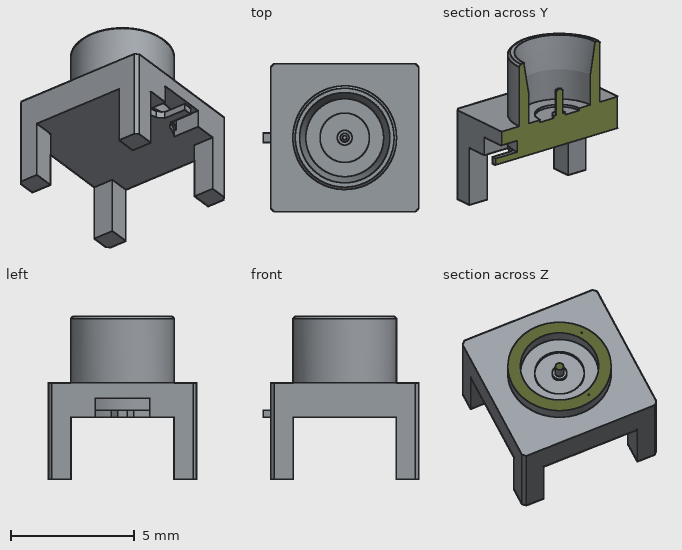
import cadquery as cq


BODY_SIDE = 6.0
BODY_HEIGHT = 1.4
CORNER_CHAMFER = 0.14
LEG_SIDE = 0.92
LEG_LENGTH = 2.5

COLLAR_DIAMETER = 4.2
COLLAR_HEIGHT = 2.7
RIM_CHAMFER = 0.1
MOUTH_DIAMETER = 3.65
BORE_DIAMETER = 3.15
TAPER_DEPTH = 1.4
COLLAR_TOP = BODY_HEIGHT + COLLAR_HEIGHT
BORE_FLOOR = BODY_HEIGHT

RECESS_DIAMETER = 2.0
RECESS_DEPTH = 0.1
PIN_BASE_DIAMETER = 0.6
PIN_DIAMETER = 0.35
PIN_TIP_CHAMFER = 0.09
PIN_LENGTH = 1.1

SLOT_WIDTH = 2.2
SLOT_HEIGHT = 0.78
CORE_DIAMETER = 4.4
CORE_FOOT_DIAMETER = 4.2

TAIL_REACH = 3.3
TAIL_WIDTH = 0.4
TAIL_THICKNESS = 0.3
TAIL_ROOT_WIDTH = 0.94
TAIL_FLARE_START = 2.3
TAIL_FLARE_LENGTH = (TAIL_ROOT_WIDTH - TAIL_WIDTH) / 2
TAIL_INNER_END = CORE_FOOT_DIAMETER / 4


def cylinder(diameter, bottom, height):
    """Solid cylinder on the connector axis."""
    return cq.Workplane("XY").workplane(offset=bottom).circle(diameter / 2).extrude(height)


def make_body():
    """Chamfered square block with a crossed relief that leaves four corner legs."""
    block = (
        cq.Workplane("XY")
        .workplane(offset=-LEG_LENGTH)
        .rect(BODY_SIDE, BODY_SIDE)
        .extrude(LEG_LENGTH + BODY_HEIGHT)
        .edges("|Z")
        .chamfer(CORNER_CHAMFER)
    )
    gap = BODY_SIDE - 2 * LEG_SIDE
    for x_size, y_size in ((BODY_SIDE, gap), (gap, BODY_SIDE)):
        relief = cq.Workplane("XY").rect(x_size, y_size).extrude(-LEG_LENGTH)
        block = block.cut(relief)
    return block


def make_slot():
    """Slot open to the -X face and the underside, ending at the round core."""
    slot = cq.Workplane("XY").box(
        BODY_SIDE / 2, SLOT_WIDTH, SLOT_HEIGHT, centered=(False, True, False)
    ).translate((-BODY_SIDE / 2, 0, 0))
    foot = cylinder(CORE_FOOT_DIAMETER, 0, TAIL_THICKNESS)
    core = cylinder(CORE_DIAMETER, TAIL_THICKNESS, SLOT_HEIGHT - TAIL_THICKNESS)
    return slot.cut(foot).cut(core)


def make_collar():
    """Plain round collar with a chamfered outer rim."""
    return cylinder(COLLAR_DIAMETER, BODY_HEIGHT, COLLAR_HEIGHT).faces(">Z").edges().chamfer(RIM_CHAMFER)


def make_bore():
    """Revolved cavity: tapered mouth, straight bore and shallow floor recess."""
    recess_floor = BORE_FLOOR - RECESS_DEPTH
    return (
        cq.Workplane("XZ")
        .moveTo(0, recess_floor)
        .lineTo(RECESS_DIAMETER / 2, recess_floor)
        .lineTo(RECESS_DIAMETER / 2, BORE_FLOOR)
        .lineTo(BORE_DIAMETER / 2, BORE_FLOOR)
        .lineTo(BORE_DIAMETER / 2, COLLAR_TOP - TAPER_DEPTH)
        .lineTo(MOUTH_DIAMETER / 2, COLLAR_TOP)
        .lineTo(0, COLLAR_TOP)
        .close()
        .revolve()
    )


def make_pin():
    """Centre pin with a bevelled tip on a wider base flush with the bore floor."""
    recess_floor = BORE_FLOOR - RECESS_DEPTH
    base = cylinder(PIN_BASE_DIAMETER, recess_floor, RECESS_DEPTH)
    pin = cylinder(PIN_DIAMETER, BORE_FLOOR, PIN_LENGTH).faces(">Z").edges().chamfer(PIN_TIP_CHAMFER)
    return base.union(pin)


def make_tail():
    """Flat tail along -X with a flared root embedded in the core foot."""
    flare_end = TAIL_FLARE_START - TAIL_FLARE_LENGTH
    return (
        cq.Workplane("XY")
        .moveTo(-TAIL_REACH, 0)
        .lineTo(-TAIL_REACH, TAIL_WIDTH / 2)
        .lineTo(-TAIL_FLARE_START, TAIL_WIDTH / 2)
        .lineTo(-flare_end, TAIL_ROOT_WIDTH / 2)
        .lineTo(-TAIL_INNER_END, TAIL_ROOT_WIDTH / 2)
        .lineTo(-TAIL_INNER_END, 0)
        .mirrorX()
        .extrude(TAIL_THICKNESS)
    )


housing = make_body().cut(make_slot()).union(make_collar()).cut(make_bore())
result = housing.union(make_pin()).union(make_tail())